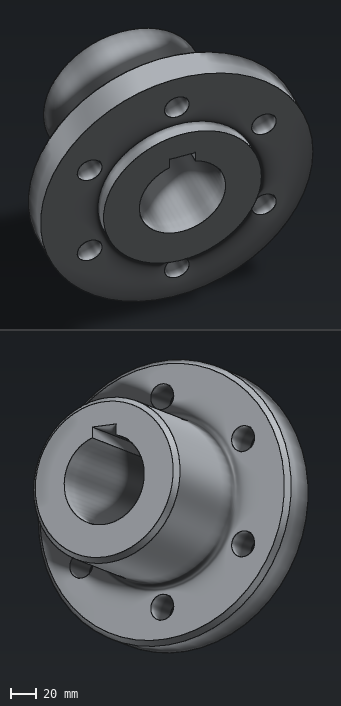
import cadquery as cq

total_length = 134.9
flange_thickness = 31.0
spigot_length = 12.3
hub_length = total_length - flange_thickness - spigot_length
flange_end = hub_length + flange_thickness

hub_diameter = 135.0
flange_diameter = 233.0
spigot_diameter = hub_diameter
bore_diameter = 73.7

edge_chamfer = 4.0
root_fillet = 6.0

keyway_width = 22.0
keyway_roof_height = 44.0

bolt_count = 6
bolt_circle_diameter = 172.0
bolt_hole_diameter = 21.0
bolt_spacing_angle = 360.0 / bolt_count
first_bolt_angle = bolt_spacing_angle / 2


def disc(start, length, diameter):
    """Cylinder on the X axis, running from start toward +X."""
    return cq.Workplane("YZ", origin=(start, 0, 0)).circle(diameter / 2).extrude(length)


def make_flanged_hub():
    """Hub, bolting flange and locating spigot, with the outer edges broken."""
    hub = disc(0, hub_length, hub_diameter).faces("<X").edges().chamfer(edge_chamfer)
    flange = disc(hub_length, flange_thickness, flange_diameter)
    flange = flange.faces("<X").edges().chamfer(edge_chamfer)
    spigot = disc(flange_end, spigot_length, spigot_diameter)
    body = hub.union(flange).union(spigot)

    root_radius = hub_diameter / 2 + root_fillet
    root_box = cq.selectors.BoxSelector(
        (hub_length - root_fillet, -root_radius, -root_radius),
        (hub_length + root_fillet, root_radius, root_radius),
        boundingbox=True,
    )
    return body.edges("%CIRCLE").edges(root_box).fillet(root_fillet)


def make_keyed_bore():
    """Through bore with a keyway toward +Z."""
    bore = disc(0, total_length, bore_diameter)
    keyway = cq.Workplane("XY").box(
        total_length, keyway_width, keyway_roof_height, centered=(False, True, False)
    )
    return bore.union(keyway)


def make_bolt_holes():
    """Ring of through holes in the flange, with one hole on the +Z side."""
    return (
        cq.Workplane("YZ", origin=(hub_length, 0, 0))
        .polarArray(bolt_circle_diameter / 2, first_bolt_angle, 360, bolt_count)
        .circle(bolt_hole_diameter / 2)
        .extrude(flange_thickness)
    )


result = make_flanged_hub().cut(make_keyed_bore()).cut(make_bolt_holes())